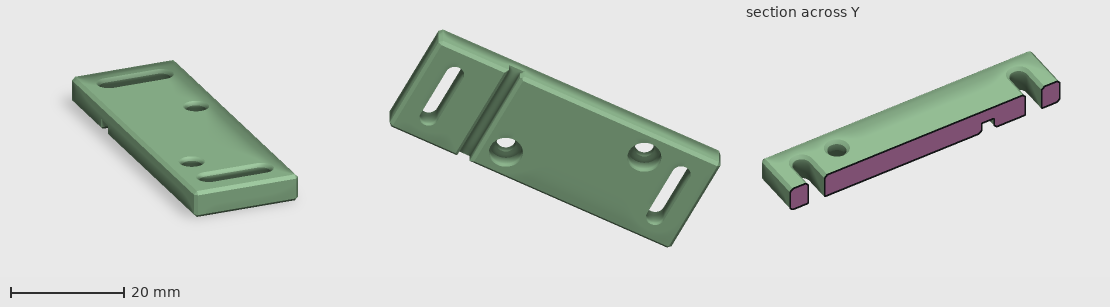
import cadquery as cq

LENGTH = 56.0
WIDTH = 20.0
THICKNESS = 5.0
CHAMFER = 0.6

SLOT_WIDTH = 3.3
SLOT_TRAVEL = 10.0
SLOT_LENGTH = SLOT_TRAVEL + SLOT_WIDTH
SLOT_SPACING = 45.0

HOLE_DIAMETER = 3.4
HOLE_PATTERN_CENTRE = 4.0
HOLE_SPACING_X = 22.2
HOLE_SPACING_Y = 10.3
HOLE_CENTRES = [
    (HOLE_PATTERN_CENTRE - HOLE_SPACING_X / 2, HOLE_SPACING_Y / 2),
    (HOLE_PATTERN_CENTRE + HOLE_SPACING_X / 2, -HOLE_SPACING_Y / 2),
]
COUNTERBORE_DIAMETER = 6.0
COUNTERBORE_DEPTH = 3.0

GROOVE_CENTRE = -13.05
GROOVE_WIDTH = 2.5
GROOVE_DEPTH = 2.2


def make_plate():
    """Rectangular plate with every outer edge chamfered."""
    plate = cq.Workplane("XY").box(LENGTH, WIDTH, THICKNESS, centered=(True, True, False))
    return plate.edges().chamfer(CHAMFER)


def cut_groove(plate):
    """Groove along Y with both mouth edges chamfered, and its right wall chamfered at the -Y end."""
    half_width = GROOVE_WIDTH / 2
    mouth_half_width = half_width + CHAMFER
    groove = (
        cq.Workplane("XZ", origin=(GROOVE_CENTRE, 0, 0))
        .moveTo(-mouth_half_width, 0)
        .lineTo(-half_width, CHAMFER)
        .lineTo(-half_width, GROOVE_DEPTH)
        .lineTo(half_width, GROOVE_DEPTH)
        .lineTo(half_width, CHAMFER)
        .lineTo(mouth_half_width, 0)
        .close()
        .extrude(WIDTH / 2, both=True)
    )
    corner = (
        cq.Workplane("XY", origin=(GROOVE_CENTRE + half_width, -WIDTH / 2, 0))
        .lineTo(CHAMFER, 0)
        .lineTo(0, CHAMFER)
        .close()
        .extrude(GROOVE_DEPTH)
    )
    return plate.cut(groove).cut(corner)


def cut_openings(plate):
    """Cut the slots and holes, with a chamfer around each rim on the top face."""
    slot_centres = [(-SLOT_SPACING / 2, 0), (SLOT_SPACING / 2, 0)]
    opened = (
        plate.faces(">Z")
        .workplane(origin=(0, 0, THICKNESS))
        .pushPoints(slot_centres)
        .slot2D(SLOT_LENGTH, SLOT_WIDTH, 90)
        .cutThruAll()
        .pushPoints(HOLE_CENTRES)
        .circle(HOLE_DIAMETER / 2)
        .cutThruAll()
    )
    rims = opened.faces(">Z").val().innerWires()
    return opened.newObject([edge for rim in rims for edge in rim.Edges()]).chamfer(CHAMFER)


def cut_counterbores(plate):
    """Counterbore both screw holes from the underside."""
    counterbores = (
        cq.Workplane("XY")
        .pushPoints(HOLE_CENTRES)
        .circle(COUNTERBORE_DIAMETER / 2)
        .extrude(COUNTERBORE_DEPTH)
    )
    return plate.cut(counterbores)


result = make_plate()
result = cut_groove(result)
result = cut_openings(result)
result = cut_counterbores(result)